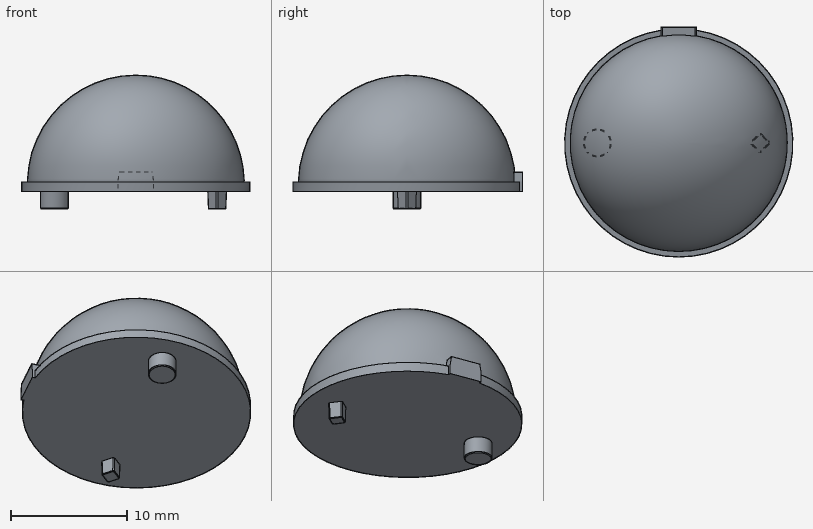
import cadquery as cq

overall_depth = 19.81
rim_diameter = 19.67
rim_radius = rim_diameter / 2
rim_height = 0.85

dome_radius = 9.35
collar_top = 1.01
dome_top = 10.05

tab_width = 3.1
tab_top_width = 2.81
tab_outer_y = overall_depth - rim_radius
tab_inner_y = 7.92
tab_top = 1.68

peg_offset = 7.01
peg_length = 1.5
round_peg_diameter = 2.4
round_peg_chamfer = 0.08
wedge_peg_width = 1.62
wedge_peg_corner = 0.15
wedge_peg_tip_shrink = 0.05
wedge_peg_tip_chamfer = 0.05


def make_rim():
    return cq.Workplane("XY").circle(rim_radius).extrude(rim_height)


def make_dome():
    cap_height = dome_top - collar_top
    sphere_radius = (dome_radius**2 + cap_height**2) / (2 * cap_height)
    return (
        cq.Workplane("XZ")
        .lineTo(dome_radius, 0)
        .lineTo(dome_radius, collar_top)
        .radiusArc((0, dome_top), -sphere_radius)
        .close()
        .revolve(360, (0, 0, 0), (0, 1, 0))
    )


def make_tab():
    half_base = tab_width / 2
    half_top = tab_top_width / 2
    profile = [
        (-half_base, 0),
        (half_base, 0),
        (half_base, rim_height),
        (half_top, tab_top),
        (-half_top, tab_top),
        (-half_base, rim_height),
    ]
    return (
        cq.Workplane("XZ", origin=(0, tab_outer_y, 0))
        .polyline(profile)
        .close()
        .extrude(tab_outer_y - tab_inner_y)
    )


def make_round_peg():
    return (
        cq.Workplane("XY")
        .center(-peg_offset, 0)
        .circle(round_peg_diameter / 2)
        .extrude(-peg_length)
        .faces("<Z")
        .chamfer(round_peg_chamfer)
    )


def make_wedge_peg():
    tip_width = wedge_peg_width - 2 * wedge_peg_tip_shrink

    def outline(plane, width):
        half = width / 2
        flat = wedge_peg_corner / 2
        corners = [
            (half, -flat),
            (half, flat),
            (flat, half),
            (-flat, half),
            (-half, flat),
            (-half, -flat),
            (-flat, -half),
            (flat, -half),
        ]
        return plane.polyline(corners).close()

    root = outline(cq.Workplane("XY", origin=(peg_offset, 0, 0)), wedge_peg_width)
    tip = outline(root.workplane(offset=-peg_length), tip_width)
    return tip.loft(ruled=True).faces("<Z").chamfer(wedge_peg_tip_chamfer)


result = (
    make_rim()
    .union(make_dome())
    .union(make_tab())
    .union(make_round_peg())
    .union(make_wedge_peg())
)